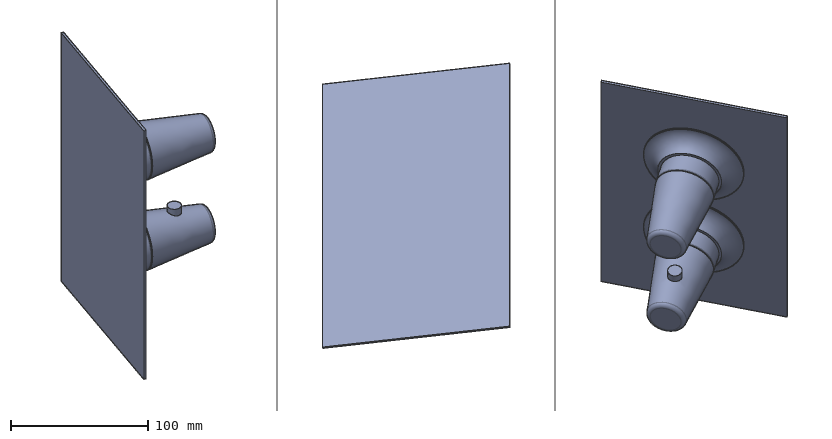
import cadquery as cq

plate_width = 140.0
plate_height = 220.0
plate_thickness = 2.0

total_depth = 85.4
knob_offset = 40.0

flange_radius = 37.8
flange_step = 0.2
flare_end_radius = 24.0
collar_radius = 22.0
grip_tip_radius = 14.5
tip_fillet = 3.3

flange_step_end = 2.6
flange_end = 3.3
flare_end = 14.5
collar_end = 28.5
grip_start = 30.1

groove_depth = 0.2

flare_radius = 12.8

button_radius = 5.3
button_distance = 58.0
button_height = 23.5


def make_plate():
    return cq.Workplane("XY").box(plate_width, plate_thickness, plate_height).translate(
        (0, plate_thickness / 2, 0)
    )


def make_knob(height):
    """Revolved knob whose axis runs along Y at the given height."""
    flange_top_radius = flange_radius - flange_step
    groove_middle = (collar_end + grip_start) / 2
    profile = (
        cq.Workplane("XY")
        .lineTo(flange_radius, 0)
        .lineTo(flange_radius, flange_step_end)
        .lineTo(flange_top_radius, flange_step_end)
        .lineTo(flange_top_radius, flange_end)
        .radiusArc((flare_end_radius, flare_end), flare_radius)
        .lineTo(collar_radius, flare_end)
        .lineTo(collar_radius, collar_end)
        .lineTo(collar_radius - groove_depth, groove_middle)
        .lineTo(collar_radius, grip_start)
        .lineTo(grip_tip_radius, total_depth)
        .lineTo(0, total_depth)
        .close()
    )
    knob = profile.revolve(360, (0, 0, 0), (0, 1, 0))
    return knob.faces(">Y").edges().fillet(tip_fillet).translate((0, 0, height))


def make_button(height):
    """Upright pin rising from the knob axis at the given height."""
    return (
        cq.Workplane("XY")
        .circle(button_radius)
        .extrude(button_height)
        .translate((0, button_distance, height))
    )


result = make_plate()
for knob_height in (-knob_offset, knob_offset):
    result = result.union(make_knob(knob_height))
result = result.union(make_button(-knob_offset))